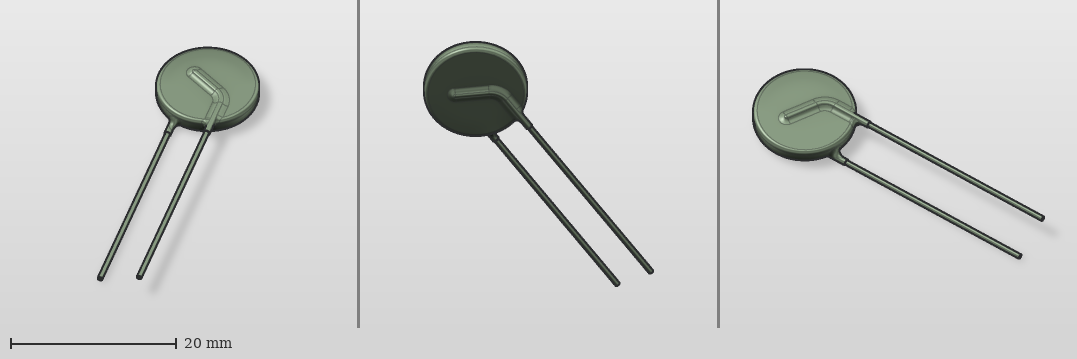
import cadquery as cq
import math

overall_length = 38.95
disc_diameter = 12.5
disc_thickness = 2.0
rim_fillet = 0.5

lead_pitch = 5.0
coating_diameter = 0.8
wire_diameter = 0.62
coating_end_y = -7.65

bend_start_y = -2.7
bend_radius = 2.2
bend_angle = 60.0
slant_length = 4.05
blend_radius = 1.0

touch_tolerance = 0.0005

disc_radius = disc_diameter / 2
lead_x = lead_pitch / 2
lead_height = disc_thickness / 2
wire_length = overall_length - disc_radius + coating_end_y


def bend_point(angle):
    """Point on the bend after turning by angle degrees from the +Y run."""
    turn = math.radians(angle)
    x = lead_x - bend_radius * (1 - math.cos(turn))
    y = bend_start_y + bend_radius * math.sin(turn)
    return x, y


def make_disc():
    """Round disc centred on the origin with both rims rounded."""
    disc = cq.Workplane("XY").circle(disc_radius).extrude(disc_thickness).translate((0, 0, -disc_thickness / 2))
    return disc.faces("|Z").edges().fillet(rim_fillet)


def make_coated_lead():
    """Round ridge: straight run, bend and slanted run with a domed end, on the +Z side."""
    bend_end = bend_point(bend_angle)
    turn = math.radians(bend_angle)
    tip = (
        bend_end[0] - slant_length * math.sin(turn),
        bend_end[1] + slant_length * math.cos(turn),
    )
    path = (
        cq.Workplane("XY", origin=(0, 0, lead_height))
        .moveTo(lead_x, coating_end_y)
        .lineTo(lead_x, bend_start_y)
        .threePointArc(bend_point(bend_angle / 2), bend_end)
        .lineTo(*tip)
    )
    ridge = (
        cq.Workplane("XZ", origin=(lead_x, coating_end_y, lead_height))
        .circle(coating_diameter / 2)
        .sweep(path)
    )
    dome = cq.Workplane("XY", origin=(*tip, lead_height)).sphere(coating_diameter / 2)
    return ridge.union(dome)


def turn_over(shape):
    """Half turn about Y, carrying the +Z lead to the -Z side."""
    return shape.rotate((0, 0, 0), (0, 1, 0), 180)


def make_wire(x, z):
    """Bare wire continuing from the end of a coated lead."""
    return (
        cq.Workplane("XZ", origin=(x, coating_end_y, z))
        .circle(wire_diameter / 2)
        .extrude(wire_length)
    )


def is_joint(edge, disc, lead):
    """True when the middle of the edge lies on the skins of both the disc and the lead."""
    middle = cq.Vertex.makeVertex(*edge.positionAt(0.5).toTuple())
    skins = disc.val().Shells() + lead.val().Shells()
    return all(middle.distance(skin) < touch_tolerance for skin in skins)


def make_body():
    """Coated disc with a ridge on each face, blended along the joint lines."""
    disc = make_disc()
    upper_lead = make_coated_lead()
    leads = [upper_lead, turn_over(upper_lead)]
    body = disc.union(leads[0]).union(leads[1])
    joints = [
        edge for edge in body.edges().vals() if any(is_joint(edge, disc, lead) for lead in leads)
    ]
    return body.newObject(joints).fillet(blend_radius)


body = make_body()
wires = [make_wire(side * lead_x, side * lead_height) for side in (1, -1)]
result = cq.Compound.makeCompound([body.val(), *[wire.val() for wire in wires]])